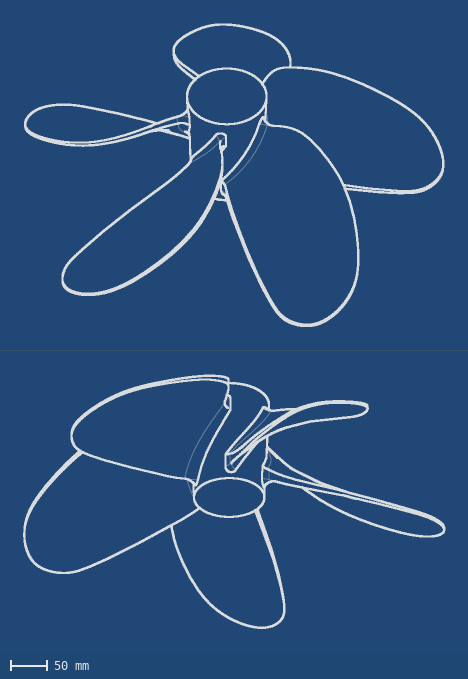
import cadquery as cq
import math

blade_count = 5
blade_pitch_angle = 360 / blade_count
hub_top_radius = 55.5
hub_bottom_radius = 49.0
hub_height = 154.0
root_fillet = 14.0
core_inset = 0.9
tool_height = 583.0

sheet_inner = 29.0
sheet_outer = 309.0
sheet_intervals = 5
rake_height = -65.0
rake_slope = -0.305
root_lift = 0.006858
root_lift_end = 87.5
helix_pitch = 105.0
helix_offset = 17.5
extra_slope = 0.03
root_camber = 0.002572
width_limit = 111.0
width_growth_distance = 46.5
section_intervals = 2
root_thickness = 9.0
tip_thickness = 2.5

root_high = (35.0, 11.5)
root_low = (23.5, -25.0)
outline = [
    (57.0, 32.5), (88.0, 62.5), (128.0, 77.5), (163.0, 81.0), (198.0, 76.0), (241.5, 58.5),
    (287.5, 23.0), (302.5, -18.5), (296.0, -52.0), (262.5, -76.0),
    (224.0, -76.0), (171.5, -67.0), (110.0, -52.0), (51.0, -34.5),
]


def make_core(inset):
    """Tapered solid of revolution lying the given inset inside the hub's surface."""
    profile = [
        (0, -inset),
        (hub_top_radius - inset, -inset),
        (hub_bottom_radius - inset, inset - hub_height),
        (0, inset - hub_height),
    ]
    core = cq.Workplane("XZ").polyline(profile).close().revolve(360, (0, 0), (0, 1))
    return core.rotate((0, 0, 0), (0, 0, 1), 180)


def section_wire(distance):
    """Closed section in the plane x = distance, with a constant normal thickness."""
    centre_height = rake_height + rake_slope * distance
    centre_height += root_lift * max(0, root_lift_end - distance) ** 2
    slope = helix_pitch / (distance + helix_offset) + extra_slope
    camber = root_camber * (1 - distance / sheet_outer)
    outward = (distance - sheet_inner) / (sheet_outer - sheet_inner)
    thickness = root_thickness + (tip_thickness - root_thickness) * outward
    half_width = width_limit * distance / (distance + width_growth_distance)
    half_height = thickness / 2 * math.hypot(1, slope)
    lower_points = []
    upper_points = []
    for index in range(section_intervals + 1):
        y = half_width * (2 * index / section_intervals - 1)
        height = centre_height + slope * y - camber * y * y
        lower_points.append(cq.Vector(distance, y, height - half_height))
        upper_points.append(cq.Vector(distance, y, height + half_height))
    return cq.Wire.assembleEdges([
        cq.Edge.makeSpline(lower_points),
        cq.Edge.makeLine(lower_points[-1], upper_points[-1]),
        cq.Edge.makeSpline(upper_points[::-1]),
        cq.Edge.makeLine(upper_points[0], lower_points[0]),
    ])


def make_blade():
    """Twisted sheet trimmed to the blade's plan outline."""
    spacing = (sheet_outer - sheet_inner) / sheet_intervals
    distances = [sheet_inner + spacing * index for index in range(sheet_intervals + 1)]
    sheet = cq.Solid.makeLoft([section_wire(distance) for distance in distances])
    trim = (
        cq.Workplane("XY", origin=(0, 0, -tool_height / 2))
        .moveTo(*root_high)
        .spline(outline + [root_low], includeCurrent=True)
        .close()
        .extrude(tool_height)
    )
    return cq.Workplane(obj=sheet).intersect(trim)


def is_root_edge(edge):
    """True for the curves where a blade's faces meet the side of the core."""
    middle = edge.Center()
    near_hub = math.hypot(middle.x, middle.y) < hub_top_radius
    return near_hub and edge.geomType() not in ("LINE", "CIRCLE")


def make_filleted_blade():
    """Blade with its root fillet and the piece of hub core that the fillet runs into."""
    joined = make_core(core_inset).union(make_blade(), clean=False)
    root_edges = [edge for edge in joined.edges().vals() if is_root_edge(edge)]
    filleted = joined.newObject(root_edges).fillet(root_fillet)
    keep_length = 350.0
    keep_width = 175.0
    keep_start = 17.5
    keep_box = (
        cq.Workplane("XY")
        .box(keep_length, keep_width, tool_height, centered=(False, True, True))
        .translate((keep_start, 0, 0))
    )
    return filleted.intersect(keep_box, clean=False)


blade = make_filleted_blade()
propeller = make_core(0)
for index in range(blade_count):
    turned_blade = blade.rotate((0, 0, 0), (0, 0, 1), index * blade_pitch_angle)
    propeller = propeller.union(turned_blade, clean=False)

result = cq.Workplane(obj=propeller.solids().val())